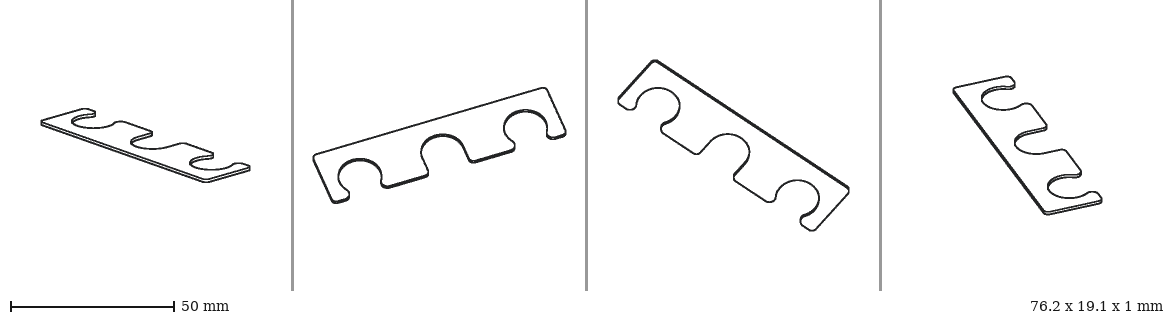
import cadquery as cq

length = 76.2
width = 19.05
thickness = 1.0
corner_radius = 1.5

seat_radius = 6.6
seat_pitch = 27.0
seat_y = width - seat_radius
lip_radius = 2.0


def make_plate():
    """Flat plate centred in X, with its -Y edge and bottom face at zero."""
    plate = cq.Workplane("XY").box(length, width, thickness, centered=(True, False, False))
    return plate.edges("|Z").fillet(corner_radius)


def make_open_seat():
    """Straight-sided U slot with rounded mouth corners for the middle seat."""
    shoulder_y = width - corner_radius
    half_mouth = seat_radius + corner_radius
    return (
        cq.Workplane("XY")
        .moveTo(-half_mouth, width)
        .radiusArc((-seat_radius, shoulder_y), corner_radius)
        .lineTo(-seat_radius, seat_y)
        .threePointArc((0, seat_y - seat_radius), (seat_radius, seat_y))
        .lineTo(seat_radius, shoulder_y)
        .radiusArc((half_mouth, width), corner_radius)
        .close()
        .extrude(thickness)
    )


def make_snap_seat(center_x):
    """Round seat whose mouth narrows between two rounded lips.

    Each lip arc is tangent to the +Y edge and to the seat circle.
    """
    lip_y = width - lip_radius
    center_distance = seat_radius + lip_radius
    lip_x = (center_distance**2 - (lip_y - seat_y) ** 2) ** 0.5
    touch_x = lip_x * seat_radius / center_distance
    touch_y = seat_y + (lip_y - seat_y) * seat_radius / center_distance
    tip_x = lip_x - lip_radius
    return (
        cq.Workplane("XY")
        .moveTo(-lip_x, width)
        .threePointArc((-tip_x, lip_y), (-touch_x, touch_y))
        .threePointArc((0, seat_y - seat_radius), (touch_x, touch_y))
        .threePointArc((tip_x, lip_y), (lip_x, width))
        .close()
        .extrude(thickness)
        .translate((center_x, 0, 0))
    )


result = make_plate().cut(make_open_seat())
for side in (-1, 1):
    result = result.cut(make_snap_seat(side * seat_pitch))